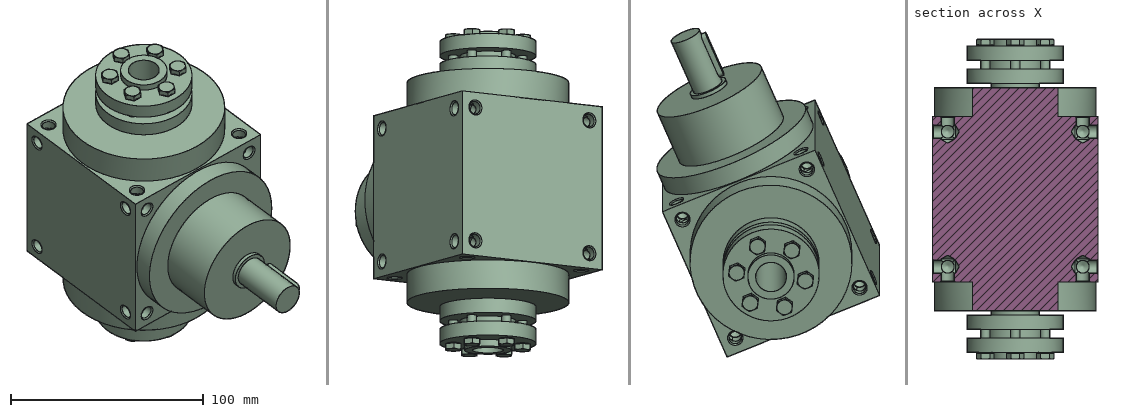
import cadquery as cq
import math

cube_side = 86.0
half_cube = cube_side / 2
flange_diameter = 84.0
output_flange_height = 15.0

hole_pitch = 70.0
hole_diameter = 6.6
hole_mouth_diameter = 8.0
hole_depth = 12.0
drill_tip_angle = 118

overall_height = 166.0
half_height = overall_height / 2
bore_diameter = 16.0
neck_diameter = 25.0
output_shaft_diameter = 24.0

input_flange_length = 10.0
hub_diameter = 59.0
hub_length = 29.0
shoulder_diameter = 20.0
shoulder_length = 2.0
input_shaft_diameter = 16.0
overall_length = 157.0

key_length = 25.0
key_width = 5.0
key_height = 5.0
key_top = 10.3

disc_diameter = 50.0
disc_thickness = 7.5
disc_gap = 4.5
inner_ring_diameter = 29.0
bolt_count = 6
bolt_circle_radius = 18.0
bolt_diameter = 5.0
bolt_head_flats = 8.0
bolt_collar_diameter = 6.8
bolt_collar_height = 0.5
bolt_head_height = 3.0
bolt_head_crown_angle = 30

output_flange_end = half_cube + output_flange_height
bolt_head_start = half_height - bolt_head_height
outer_disc_end = bolt_head_start - bolt_collar_height
outer_disc_start = outer_disc_end - disc_thickness
inner_disc_end = outer_disc_start - disc_gap
inner_disc_start = inner_disc_end - disc_thickness
input_flange_end = half_cube + input_flange_length
hub_end = input_flange_end + hub_length
shoulder_end = hub_end + shoulder_length
input_end = overall_length - half_cube
key_centre_x = (shoulder_end + input_end) / 2
key_bottom = key_top - key_height


def z_cylinder(diameter, start, end):
    """Cylinder on the Z axis between two heights."""
    return cq.Workplane("XY").workplane(offset=start).circle(diameter / 2).extrude(end - start)


def x_cylinder(diameter, start, end):
    """Cylinder on the X axis between two places."""
    return cq.Workplane("YZ").workplane(offset=start).circle(diameter / 2).extrude(end - start)


def make_hole_cutter():
    """Chamfered blind hole with a drill tip, its mouth at the origin and its depth along -Z."""
    radius = hole_diameter / 2
    mouth_radius = hole_mouth_diameter / 2
    chamfer = mouth_radius - radius
    tip_length = radius / math.tan(math.radians(drill_tip_angle / 2))
    profile = [
        (0, 0),
        (mouth_radius, 0),
        (radius, -chamfer),
        (radius, -hole_depth),
        (0, -hole_depth - tip_length),
    ]
    return cq.Workplane("XZ").polyline(profile).close().revolve(360, (0, 0), (0, 1)).val()


def cut_corner_holes(body):
    """Cut four tapped holes into each of the six faces of the cube."""
    cutter = make_hole_cutter()
    for direction in [(1, 0, 0), (-1, 0, 0), (0, 1, 0), (0, -1, 0), (0, 0, 1), (0, 0, -1)]:
        normal = cq.Vector(*direction)
        face = cq.Workplane(cq.Plane(origin=normal * half_cube, normal=normal))
        corners = face.rect(hole_pitch, hole_pitch, forConstruction=True).vertices()
        holes = corners.eachpoint(lambda place: cutter.moved(place), useLocalCoordinates=True)
        body = body.cut(holes.combine())
    return body


def make_key():
    """Round-ended parallel key lying along the input shaft."""
    plane = cq.Plane(origin=(key_centre_x, key_bottom, 0), xDir=(1, 0, 0), normal=(0, 1, 0))
    return cq.Workplane(plane).slot2D(key_length, key_width).extrude(key_height)


def make_gearbox(key):
    """Cube with its flanges, stepped input shaft and hollow output shaft."""
    body = cq.Workplane("XY").box(cube_side, cube_side, cube_side)
    body = cut_corner_holes(body)

    body = body.union(z_cylinder(flange_diameter, -output_flange_end, output_flange_end))
    body = body.union(z_cylinder(neck_diameter, -inner_disc_start, inner_disc_start))
    body = body.union(z_cylinder(output_shaft_diameter, -half_height, half_height))

    body = body.union(x_cylinder(flange_diameter, 0, input_flange_end))
    body = body.union(x_cylinder(hub_diameter, 0, hub_end))
    body = body.union(x_cylinder(shoulder_diameter, 0, shoulder_end))
    body = body.union(x_cylinder(input_shaft_diameter, 0, input_end))

    body = body.cut(z_cylinder(bore_diameter, -half_height, half_height))
    return body.cut(key)


def make_bolt_head():
    """Hexagon head with a corner facing +Y, its corners bevelled by a cone around the top."""
    corner_diameter = bolt_head_flats / math.cos(math.pi / 6)
    corner_radius = corner_diameter / 2
    crown_radius = bolt_head_flats / 2
    bevel_drop = (corner_radius - crown_radius) * math.tan(math.radians(bolt_head_crown_angle))

    head = cq.Workplane("XY").workplane(offset=bolt_head_start).transformed(rotate=(0, 0, 30))
    head = head.polygon(6, corner_diameter).extrude(bolt_head_height)
    envelope_profile = [
        (0, bolt_head_start),
        (corner_radius, bolt_head_start),
        (corner_radius, half_height - bevel_drop),
        (crown_radius, half_height),
        (0, half_height),
    ]
    envelope = cq.Workplane("XZ").polyline(envelope_profile).close().revolve(360, (0, 0), (0, 1))
    return head.intersect(envelope)


def make_bolts():
    """Ring of hexagon bolts through both plates of the upper shrink disc."""
    shank = z_cylinder(bolt_diameter, inner_disc_start, outer_disc_end)
    collar = z_cylinder(bolt_collar_diameter, outer_disc_end, bolt_head_start)
    bolt = shank.union(collar).union(make_bolt_head()).val()

    circle = cq.Workplane("XY").polarArray(bolt_circle_radius, 0, 360, bolt_count, rotate=False)
    return circle.eachpoint(lambda place: bolt.moved(place)).combine()


def make_shrink_disc():
    """Upper shrink disc: two plates on a common inner ring, drawn together by bolts."""
    disc = z_cylinder(inner_ring_diameter, inner_disc_start, outer_disc_end)
    disc = disc.union(z_cylinder(disc_diameter, inner_disc_start, inner_disc_end))
    disc = disc.union(z_cylinder(disc_diameter, outer_disc_start, outer_disc_end))
    disc = disc.union(make_bolts())
    return disc.cut(z_cylinder(output_shaft_diameter, inner_disc_start, outer_disc_end))


key = make_key()
gearbox = make_gearbox(key)

shrink_discs = []
for flip_angle in (0, 180):
    disc = make_shrink_disc().rotate((0, 0, 0), (1, 0, 0), flip_angle)
    shrink_discs.append(disc.val())

result = cq.Compound.makeCompound([gearbox.val(), key.val(), *shrink_discs])